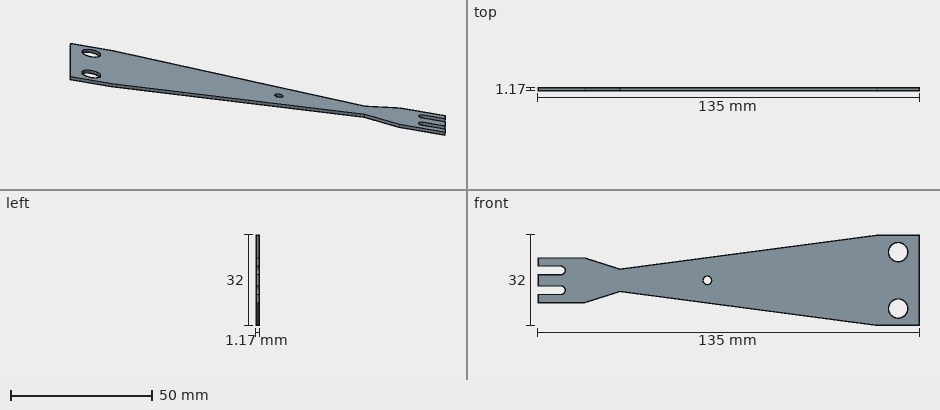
import cadquery as cq

length = 135.0
thickness = 1.17
tail_height = 32.0
fork_height = 15.9
neck_height = 8.0

shoulder_distance = 16.5
neck_distance = 29.0
tail_distance = 120.0
pilot_hole_distance = 60.0

slot_width = 3.0
slot_depth = 9.6
slot_spacing = 7.0

pilot_hole_diameter = 3.0
mount_hole_diameter = 6.8
mount_hole_spacing = 20.0

tip_x = -length / 2
tail_end_x = length / 2
mount_hole_x = tip_x + (tail_distance + length) / 2


def make_plate():
    """Plate outline, symmetric about Z = 0, extruded through the thickness."""
    upper_edge = [
        (tip_x, fork_height / 2),
        (tip_x + shoulder_distance, fork_height / 2),
        (tip_x + neck_distance, neck_height / 2),
        (tip_x + tail_distance, tail_height / 2),
        (tail_end_x, tail_height / 2),
    ]
    lower_edge = [(x, -z) for x, z in reversed(upper_edge)]
    outline = cq.Workplane("XZ").polyline(upper_edge + lower_edge).close()
    return outline.extrude(thickness / 2, both=True)


def make_slot(center_z):
    """Round-ended slot that runs out through the fork tips."""
    return (
        cq.Workplane("XZ")
        .center(tip_x, center_z)
        .slot2D(2 * slot_depth, slot_width)
        .extrude(thickness, both=True)
    )


def make_hole(center_x, center_z, diameter):
    """Round cutter through the plate."""
    return (
        cq.Workplane("XZ")
        .center(center_x, center_z)
        .circle(diameter / 2)
        .extrude(thickness, both=True)
    )


result = make_plate().cut(make_hole(tip_x + pilot_hole_distance, 0, pilot_hole_diameter))
for side in (-1, 1):
    result = result.cut(make_slot(side * slot_spacing / 2))
    result = result.cut(make_hole(mount_hole_x, side * mount_hole_spacing / 2, mount_hole_diameter))